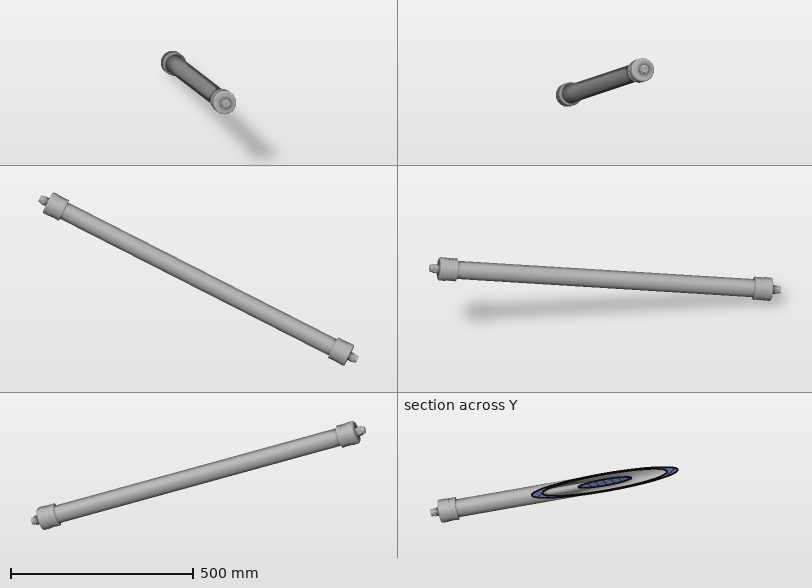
import cadquery as cq
import math

AXIS_ELEVATION = 9.87
AXIS_HEADING = -7.12

SHAFT_END = 489.2
HEX_LENGTH = 10.0
HEX_START = 471.0
HEX_END = HEX_START + HEX_LENGTH
CAP_FACE = 465.0
CAP_SEAM = 444.0
GROOVE_OUTER = 432.0
GROOVE_WIDTH = 4.0
GROOVE_INNER = GROOVE_OUTER - GROOVE_WIDTH
FLANGE_WIDTH = 4.0
RING_BACK = 415.0
FLANGE_STEP = RING_BACK + FLANGE_WIDTH

TUBE_DIAMETER = 50.0
TUBE_BORE = 42.0

CAP_DIAMETER = 64.0
CAP_RIM_RADIUS = 4.3
RING_DIAMETER = 62.0
GROOVE_DEPTH = 0.6
FLANGE_CHAMFER = 1.4

SHAFT_DIAMETER = 18.0
COLLAR_DIAMETER = 24.0
HEX_FLATS = 23.0
NOSE_DIAMETER = 20.0
NOSE_CHAMFER = (NOSE_DIAMETER - SHAFT_DIAMETER) / 2
HOLE_DIAMETER = 10.0
HOLE_DEPTH = 10.0


def revolved(profile):
    """Turn a closed profile of (axial, radial) points about the X axis."""
    return profile.close().revolve(360, (0, 0, 0), (1, 0, 0))


def mirrored(body):
    """The same body at the other end of the roller."""
    return body.mirror("YZ")


def along_roller_axis(body):
    """Swing a body built along X into the slanted roller axis."""
    raised = body.rotate((0, 0, 0), (0, 1, 0), -AXIS_ELEVATION)
    return raised.rotate((0, 0, 0), (0, 0, 1), AXIS_HEADING)


def make_tube():
    length = 2 * CAP_SEAM
    profile = cq.Workplane("YZ", origin=(-CAP_SEAM, 0, 0))
    return profile.circle(TUBE_DIAMETER / 2).circle(TUBE_BORE / 2).extrude(length)


def make_shaft_tip():
    """Collar, hexagon and drilled, chamfered nose at the +X end of the shaft."""
    collar = cq.Workplane("YZ", origin=(CAP_SEAM, 0, 0)).circle(COLLAR_DIAMETER / 2)
    tip = collar.extrude(HEX_START - CAP_SEAM)
    hex_corners = HEX_FLATS / math.cos(math.pi / 6)
    hexagon = cq.Workplane("YZ", origin=(HEX_START, 0, 0)).polygon(6, hex_corners)
    tip = tip.union(hexagon.extrude(HEX_LENGTH))
    nose = cq.Workplane("YZ", origin=(HEX_END, 0, 0)).circle(NOSE_DIAMETER / 2)
    tip = tip.union(nose.extrude(SHAFT_END - HEX_END).faces(">X").chamfer(NOSE_CHAMFER))
    hole = cq.Workplane("YZ", origin=(SHAFT_END - HOLE_DEPTH, 0, 0)).circle(HOLE_DIAMETER / 2)
    return tip.cut(hole.extrude(HOLE_DEPTH))


def make_shaft():
    core = cq.Workplane("YZ").circle(SHAFT_DIAMETER / 2).extrude(CAP_SEAM, both=True)
    tip = make_shaft_tip()
    return core.union(tip).union(mirrored(tip))


def make_cap():
    """Outer disc of an end, bored for the shaft collar, with a rounded rim."""
    outer = CAP_DIAMETER / 2
    bore = COLLAR_DIAMETER / 2
    arc_inset = CAP_RIM_RADIUS * (1 - math.sqrt(0.5))
    profile = (
        cq.Workplane("XZ")
        .moveTo(CAP_SEAM, bore)
        .lineTo(CAP_FACE, bore)
        .lineTo(CAP_FACE, outer - CAP_RIM_RADIUS)
        .threePointArc(
            (CAP_FACE - arc_inset, outer - arc_inset),
            (CAP_FACE - CAP_RIM_RADIUS, outer),
        )
        .lineTo(CAP_SEAM, outer)
    )
    return revolved(profile)


def make_ring():
    """Sleeve around the tube end, with a shallow groove and a chamfered inner flange."""
    bore = TUBE_DIAMETER / 2
    outer = RING_DIAMETER / 2
    groove = outer - GROOVE_DEPTH
    flange = CAP_DIAMETER / 2
    points = [
        (RING_BACK, bore),
        (CAP_SEAM, bore),
        (CAP_SEAM, outer),
        (GROOVE_OUTER, outer),
        (GROOVE_OUTER, groove),
        (GROOVE_INNER, groove),
        (GROOVE_INNER, outer),
        (FLANGE_STEP, outer),
        (FLANGE_STEP, flange),
        (RING_BACK + FLANGE_CHAMFER, flange),
        (RING_BACK, flange - FLANGE_CHAMFER),
    ]
    return revolved(cq.Workplane("XZ").polyline(points))


tube = make_tube()
shaft = make_shaft()
bodies = [tube, shaft]
for end_body in (make_cap(), make_ring()):
    bodies.append(end_body)
    bodies.append(mirrored(end_body))

result = cq.Compound.makeCompound([along_roller_axis(body).val() for body in bodies])